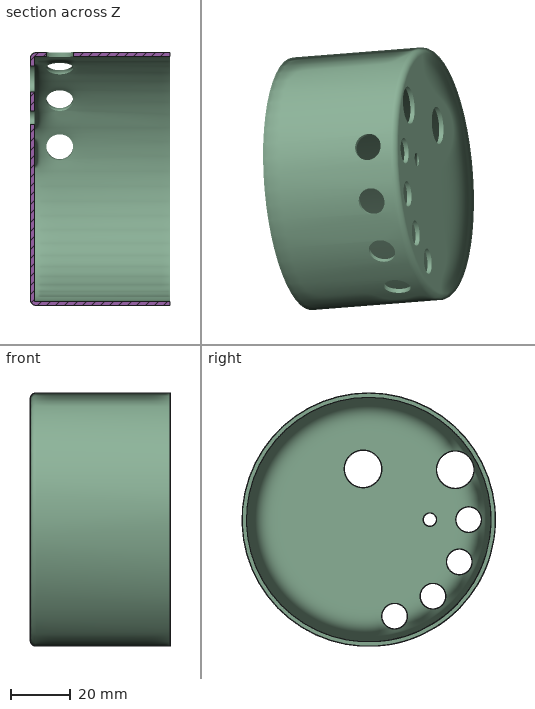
import cadquery as cq
import math

cup_length = 47.0
outer_radius = 42.5
shell_thickness = 1.5
rim_fillet = 2.0
inner_radius = outer_radius - shell_thickness

ring_radius = 33.5
medium_hole_diameter = 8.5
medium_hole_count = 4
medium_hole_step = -25.0
medium_hole_angles = [medium_hole_step * i for i in range(medium_hole_count)]

large_hole_diameter = 12.5
large_hole_angle = 30.0
inner_large_hole_y = -1.9
inner_large_hole_z = 17.0

pin_hole_diameter = 4.4
pin_hole_y = 20.5

wall_hole_diameter = 9.0
wall_hole_x = 10.0


def ring_point(angle):
    """Y and Z of a point on the ring of plate holes."""
    turn = math.radians(angle)
    return ring_radius * math.cos(turn), ring_radius * math.sin(turn)


def cup_body():
    """Half section of the cup in the XZ plane, revolved about the X axis."""
    return (
        cq.Workplane("XZ")
        .moveTo(0, 0)
        .lineTo(0, outer_radius - rim_fillet)
        .radiusArc((rim_fillet, outer_radius), rim_fillet)
        .lineTo(cup_length, outer_radius)
        .lineTo(cup_length, inner_radius)
        .lineTo(shell_thickness, inner_radius)
        .lineTo(shell_thickness, 0)
        .close()
        .revolve(360, (0, 0, 0), (1, 0, 0))
    )


def plate_holes(points, diameter):
    """Cutters through the end plate at the given (Y, Z) points."""
    return cq.Workplane("YZ").pushPoints(points).circle(diameter / 2).extrude(shell_thickness)


def wall_hole(angle):
    """Cutter from the X axis out through the side wall."""
    drill = (
        cq.Workplane("XZ", origin=(wall_hole_x, 0, 0))
        .circle(wall_hole_diameter / 2)
        .extrude(-outer_radius)
    )
    return drill.rotate((0, 0, 0), (1, 0, 0), angle)


medium_points = [ring_point(angle) for angle in medium_hole_angles]
large_points = [ring_point(large_hole_angle), (inner_large_hole_y, inner_large_hole_z)]

result = cup_body()
result = result.cut(plate_holes(medium_points, medium_hole_diameter))
result = result.cut(plate_holes(large_points, large_hole_diameter))
result = result.cut(plate_holes([(pin_hole_y, 0)], pin_hole_diameter))
for hole_angle in medium_hole_angles:
    result = result.cut(wall_hole(hole_angle))